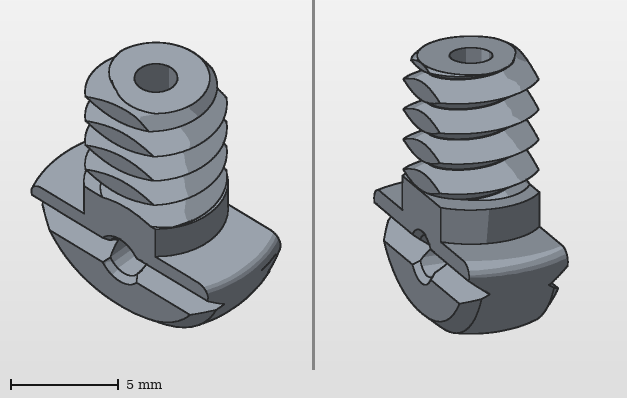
import cadquery as cq
import math


head_radius = 6.1
head_depth = 5.0
head_thickness = 5.0
half_thickness = head_thickness / 2
rim_fillet = 0.6
belly_radius = 5.15
belly_center_z = belly_radius - head_depth
belly_center_r = head_radius - math.sqrt(belly_radius**2 - (belly_center_z + rim_fillet) ** 2)
chamfer_on_face = 0.43
chamfer_on_belly = 0.71

groove_z = -1.55
groove_depth = 1.0
groove_half_height = 0.75

hole_diameter = 2.0
countersink_diameter = 2.6
countersink_depth = (countersink_diameter - hole_diameter) / 2

collar_radius = 3.35
collar_height = 1.7
stud_top = 8.1
thread_radius = 3.3
thread_pitch = 1.5
thread_half_angle = math.radians(30)
sharp_root_radius = thread_radius - thread_pitch / 2 / math.tan(thread_half_angle)
root_clearance = 0.02
ridge_base_radius = sharp_root_radius + root_clearance
core_radius = ridge_base_radius + root_clearance
crest_z = 6.34
ridge_turns = 7
ridge_turns_below_crest = 4
ridge_start_z = crest_z - ridge_turns_below_crest * thread_pitch
tip_radius = 2.5

tool_margin = 1.0


def cut_flat_sides(body):
    """Keep only the slab between the two flat faces."""
    slab_width = 2 * (head_radius + tool_margin)
    slab_height = 2 * (stud_top + head_depth + tool_margin)
    return body.intersect(cq.Workplane("XY").box(slab_width, head_thickness, slab_height))


def hammer_head():
    """Body of revolution with a rounded rim and a curved belly, flat on both sides."""
    rim_center_r = head_radius - rim_fillet
    rim_mid = rim_fillet * math.sin(math.pi / 4)
    belly_mid = belly_radius * math.sin(math.pi / 4)
    blank = (
        cq.Workplane("XZ")
        .lineTo(rim_center_r, 0)
        .threePointArc(
            (rim_center_r + rim_mid, rim_mid - rim_fillet),
            (head_radius, -rim_fillet),
        )
        .threePointArc(
            (belly_center_r + belly_mid, belly_center_z - belly_mid),
            (belly_center_r, -head_depth),
        )
        .lineTo(0, -head_depth)
        .close()
        .revolve(360, (0, 0, 0), (0, 1, 0))
    )
    return cut_flat_sides(blank)


def cut_grooves(head):
    """Cut the V groove along X into each flat face."""
    slope = groove_half_height / groove_depth
    mouth_half_height = groove_half_height + tool_margin * slope
    mouth_y = half_thickness + tool_margin
    groove_length = 2 * (head_radius + tool_margin)
    for side in (-1, 1):
        groove = (
            cq.Workplane("YZ")
            .moveTo(side * (half_thickness - groove_depth), groove_z)
            .lineTo(side * mouth_y, groove_z + mouth_half_height)
            .lineTo(side * mouth_y, groove_z - mouth_half_height)
            .close()
            .extrude(groove_length / 2, both=True)
        )
        head = head.cut(groove)
    return head


def chamfer_belly(head):
    """Chamfer the curved edge of each flat face below the groove."""
    for side in ("<Y", ">Y"):
        face = head.faces(side).faces("<Z").val()
        edges = [e for e in face.Edges() if e.geomType() != "LINE"]
        head = cq.Workplane(head.val().chamfer(chamfer_on_belly, chamfer_on_face, edges))
    return head


def cross_hole():
    """Hole along Y with a 45 degree countersink at each flat face, as a tool."""
    hole_radius = hole_diameter / 2
    countersink_start = half_thickness - countersink_depth
    mouth_y = half_thickness + tool_margin
    mouth_radius = hole_radius + countersink_depth + tool_margin
    return (
        cq.Workplane("XY")
        .moveTo(0, -mouth_y)
        .lineTo(mouth_radius, -mouth_y)
        .lineTo(hole_radius, -countersink_start)
        .lineTo(hole_radius, countersink_start)
        .lineTo(mouth_radius, mouth_y)
        .lineTo(0, mouth_y)
        .close()
        .revolve(360, (0, 0, 0), (0, 1, 0))
        .translate((0, 0, groove_z))
    )


def thread_ridge():
    """Helical V ridge with a sharp crest; it runs out past both ends of the stud."""
    base_half_height = (thread_radius - ridge_base_radius) * math.tan(thread_half_angle)
    start = cq.Vector(0, 0, ridge_start_z)
    helix = cq.Wire.makeHelix(thread_pitch, ridge_turns * thread_pitch, thread_radius, start)
    return (
        cq.Workplane("XZ")
        .moveTo(ridge_base_radius, ridge_start_z - base_half_height)
        .lineTo(thread_radius, ridge_start_z)
        .lineTo(ridge_base_radius, ridge_start_z + base_half_height)
        .close()
        .sweep(cq.Workplane(helix), isFrenet=True)
    )


def tip_chamfer_ring():
    """Ring outside a 45 degree cone at the stud tip, as a tool."""
    reach = thread_radius + tool_margin - tip_radius
    return (
        cq.Workplane("XZ")
        .moveTo(tip_radius - tool_margin, stud_top + tool_margin)
        .lineTo(tip_radius + reach, stud_top + tool_margin)
        .lineTo(tip_radius + reach, stud_top - reach)
        .close()
        .revolve(360, (0, 0, 0), (0, 1, 0))
    )


def threaded_stud():
    """Threaded stud above the collar, chamfered at the tip and flat on both sides."""
    core_length = (ridge_turns + 2) * thread_pitch
    core = (
        cq.Workplane("XY", origin=(0, 0, ridge_start_z - thread_pitch))
        .circle(core_radius)
        .extrude(core_length)
    )
    stud_slab = (
        cq.Workplane("XY", origin=(0, 0, collar_height))
        .rect(2 * (thread_radius + tool_margin), head_thickness)
        .extrude(stud_top - collar_height)
    )
    return core.union(thread_ridge()).intersect(stud_slab).cut(tip_chamfer_ring())


def collar():
    """Plain round collar between head and thread, flat on both sides."""
    return cut_flat_sides(cq.Workplane("XY").circle(collar_radius).extrude(collar_height))


def axial_hole():
    """Hole along Z through the whole part, as a tool."""
    length = head_depth + stud_top + 2 * tool_margin
    start = cq.Workplane("XY", origin=(0, 0, -head_depth - tool_margin))
    return start.circle(hole_diameter / 2).extrude(length)


head = chamfer_belly(cut_grooves(hammer_head()))
body = head.union(collar()).union(threaded_stud())
result = body.cut(cross_hole()).cut(axial_hole())